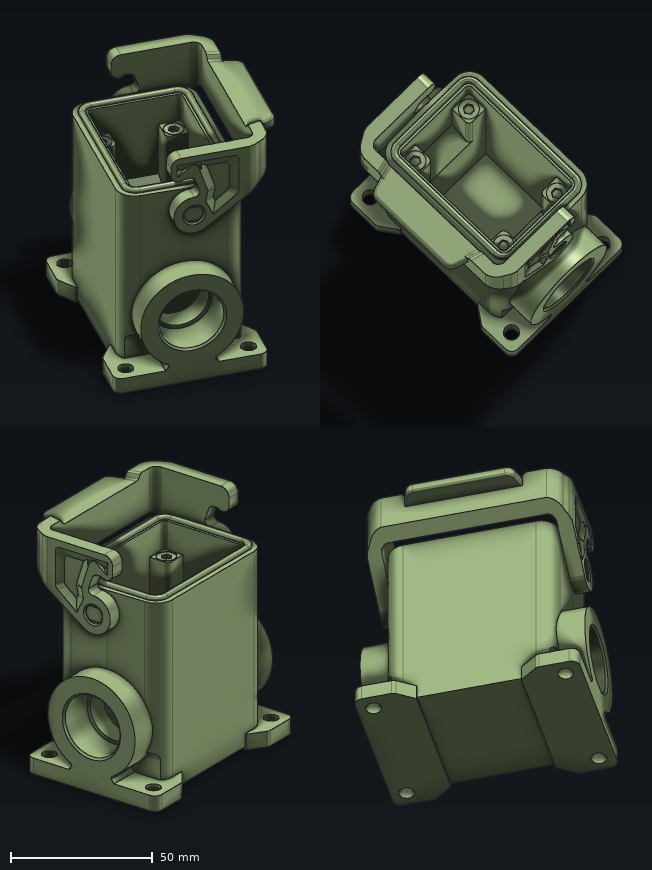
import cadquery as cq
import math

BODY_HALF_X = 31.7
BODY_HALF_Y = 23.1
CORNER_RADIUS = 7.0
SIDE_BULGE = 0.5
BODY_BOTTOM = 1.1
BODY_TOP = 75.5

CAVITY_HALF_X = 26.1
CAVITY_HALF_Y = 17.6
CAVITY_RADIUS = 1.7
FLOOR_Z = 4.6

BEAD_HALF_X = 29.6
BEAD_HALF_Y = 21.0
BEAD_WIDTH = 2.5
BEAD_HEIGHT = 1.6
BEAD_RADIUS = 5.4
BEAD_CROWN_RADIUS = 1.2

BLOCK_INNER_X = 17.65
BLOCK_INNER_Z = 38.8
BLOCK_RISE = 4.5
PILLAR_SIZE = CAVITY_HALF_X - BLOCK_INNER_X
PILLAR_TOP = 64.2
PILLAR_CORNER = 1.8
SCREW_X = (CAVITY_HALF_X + BLOCK_INNER_X) / 2
SCREW_Y = CAVITY_HALF_Y - PILLAR_SIZE / 2
SCREW_HEAD_RADIUS = 3.7
SCREW_HEAD_RECESS = 0.2
HEX_ACROSS_CORNERS = 4.0
HEX_DEPTH = 1.85

FOOT_OUTER_X = 40.98
FOOT_INNER_X = 19.1
FOOT_HALF_Y = 28.55
FOOT_HEIGHT = 6.2
FOOT_SLANT_X = 26.1
FOOT_TIP_Y = 23.7
FOOT_CORNER = 3.1
FOOT_SLANT_CORNER = 2.6
FOOT_HOLE_X = 35.0
FOOT_HOLE_Y = 22.7
FOOT_HOLE_RADIUS = 2.8

WALL_RECESS_X = 28.9
WALL_RECESS_TOP = 16.8
WALL_RECESS_HALF_Y = 22.2
WALL_RECESS_RADIUS = 2.8

COLLAR_Z = 25.6
COLLAR_RADIUS = 19.08
COLLAR_NOTCH_RADIUS = 1.1
BORE_RADIUS = 11.9
BORE_DEPTH = 13.6
BORE_CHAMFER = 0.79
PILOT_RADIUS = 10.4
PILOT_END_X = 19.5

LEVER_TOP = 92.4
ARM_OUTER_X = 37.4
ARM_INNER_X = 31.9
LEVER_BACK_Y = 31.0
CROSSBAR_INNER_Y = 26.0
LEVER_INNER_RADIUS = 3.0
ARM_FRONT_Y = -6.65
PIVOT_Y = 1.85
PIVOT_Z = 67.5
PIVOT_EYE_RADIUS = 7.5
PIN_RADIUS = 3.6
PIN_RECESS_RADIUS = 4.2
PIN_RECESS_DEPTH = 0.6
PIN_FLAT_HALF = 2.9
PIN_END_DEPTH = 0.9
ARM_POCKET_DEPTH = 1.3
ARM_POCKET_WALL_RUN = 3.05

TAB_TOP = 90.1
TAB_BOTTOM = 86.1
TAB_TIP_Y = 38.0
TAB_TIP_HALF_X = 19.2
TAB_ROOT_HALF_X = 22.4
TAB_CORNER = 3.3
TAB_EDGE_RADIUS = 0.7
NOTCH_HALF_X_INNER = 24.5
NOTCH_HALF_X_OUTER = 23.2
NOTCH_FLANK = 3.05

OVERLAP = 0.9


def both_sides(solid):
    """The +X solid together with its mirror image on the -X side."""
    return solid.union(solid.mirror("YZ"))


def rounded_box(half_x, half_y, radius, bottom, top):
    box = cq.Workplane("XY").workplane(offset=bottom).rect(2 * half_x, 2 * half_y).extrude(top - bottom)
    return box.edges("|Z").fillet(radius)


def x_cylinder(y, z, radius, start_x, end_x):
    return cq.Workplane("YZ", origin=(start_x, 0, 0)).center(y, z).circle(radius).extrude(end_x - start_x)


def inward_cone(center, outer_radius, inner_radius, depth):
    """Countersink cone on a +X face, narrowing toward the inside of the part."""
    return (
        cq.Workplane("YZ", origin=center)
        .circle(outer_radius)
        .workplane(offset=-depth).circle(inner_radius)
        .loft()
    )


def make_shell():
    """Solid outer form of the body, with a flat recess above each foot."""
    corner_x = BODY_HALF_X - SIDE_BULGE
    flat_x = corner_x - CORNER_RADIUS
    flat_y = BODY_HALF_Y - CORNER_RADIUS
    shell = (
        cq.Workplane("XY").workplane(offset=BODY_BOTTOM)
        .moveTo(-flat_x, -BODY_HALF_Y)
        .lineTo(flat_x, -BODY_HALF_Y)
        .radiusArc((corner_x, -flat_y), -CORNER_RADIUS)
        .lineTo(BODY_HALF_X, 0)
        .lineTo(corner_x, flat_y)
        .radiusArc((flat_x, BODY_HALF_Y), -CORNER_RADIUS)
        .lineTo(-flat_x, BODY_HALF_Y)
        .radiusArc((-corner_x, flat_y), -CORNER_RADIUS)
        .lineTo(-BODY_HALF_X, 0)
        .lineTo(-corner_x, -flat_y)
        .radiusArc((-flat_x, -BODY_HALF_Y), -CORNER_RADIUS)
        .close()
        .extrude(BODY_TOP - BODY_BOTTOM)
    )
    recess_height = WALL_RECESS_TOP - BODY_BOTTOM
    recess = (
        cq.Workplane("XY")
        .box(CORNER_RADIUS, 2 * WALL_RECESS_HALF_Y, recess_height, centered=(False, True, False))
        .translate((WALL_RECESS_X, 0, BODY_BOTTOM))
        .edges("<X and >Z").fillet(WALL_RECESS_RADIUS)
    )
    return shell.cut(both_sides(recess))


def make_bead():
    """Rounded ridge on the rim that carries the seal."""
    outer = rounded_box(BEAD_HALF_X, BEAD_HALF_Y, BEAD_RADIUS, BODY_TOP - OVERLAP, BODY_TOP + BEAD_HEIGHT)
    inner = rounded_box(
        BEAD_HALF_X - BEAD_WIDTH, BEAD_HALF_Y - BEAD_WIDTH, BEAD_RADIUS - BEAD_WIDTH,
        BODY_TOP - OVERLAP, BODY_TOP + BEAD_HEIGHT,
    )
    return outer.cut(inner).faces(">Z").edges().fillet(BEAD_CROWN_RADIUS)


def make_cavity():
    """The room inside the body, with the side blocks and screw pillars left standing."""
    cavity = rounded_box(CAVITY_HALF_X, CAVITY_HALF_Y, CAVITY_RADIUS, FLOOR_Z, BODY_TOP + OVERLAP)
    block = (
        cq.Workplane("XZ", origin=(0, BODY_HALF_Y, 0))
        .moveTo(BLOCK_INNER_X, 0)
        .lineTo(BLOCK_INNER_X, BLOCK_INNER_Z)
        .lineTo(CAVITY_HALF_X, BLOCK_INNER_Z + BLOCK_RISE)
        .lineTo(CAVITY_HALF_X + OVERLAP, BLOCK_INNER_Z + BLOCK_RISE)
        .lineTo(CAVITY_HALF_X + OVERLAP, 0)
        .close()
        .extrude(2 * BODY_HALF_Y)
    )
    cavity = cavity.cut(both_sides(block))
    for x_sign in (-1, 1):
        for y_sign in (-1, 1):
            cavity = cavity.cut(make_pillar(x_sign, y_sign))
    return cavity


def make_pillar(x_sign, y_sign):
    """Screw pillar in one cavity corner, with a socket-head screw set into its top."""
    inner_edge = ("<X" if x_sign > 0 else ">X") + " and " + ("<Y" if y_sign > 0 else ">Y")
    top = cq.Workplane("XY").workplane(offset=PILLAR_TOP)
    pillar = (
        cq.Workplane("XY")
        .rect(PILLAR_SIZE, PILLAR_SIZE).extrude(PILLAR_TOP)
        .edges("|Z").edges(inner_edge).fillet(PILLAR_CORNER)
    )
    head = top.circle(SCREW_HEAD_RADIUS).extrude(-SCREW_HEAD_RECESS)
    socket = top.polygon(6, HEX_ACROSS_CORNERS).extrude(-HEX_DEPTH)
    socket = socket.rotate((0, 0, 0), (0, 0, 1), 90)
    return pillar.cut(head).cut(socket).translate((x_sign * SCREW_X, y_sign * SCREW_Y, 0))


def make_foot():
    """Mounting foot on the +X side, with two screw holes and slanted inner ends."""
    foot = (
        cq.Workplane("XY")
        .polyline([
            (FOOT_OUTER_X, -FOOT_HALF_Y), (FOOT_SLANT_X, -FOOT_HALF_Y), (FOOT_INNER_X, -FOOT_TIP_Y),
            (FOOT_INNER_X, FOOT_TIP_Y), (FOOT_SLANT_X, FOOT_HALF_Y), (FOOT_OUTER_X, FOOT_HALF_Y),
        ])
        .close()
        .extrude(FOOT_HEIGHT)
        .edges("|Z and >X").fillet(FOOT_CORNER)
    )
    for y in (-FOOT_HALF_Y, FOOT_HALF_Y):
        slant_start = cq.selectors.NearestToPointSelector((FOOT_SLANT_X, y, FOOT_HEIGHT / 2))
        foot = foot.edges("|Z").edges(slant_start).fillet(FOOT_SLANT_CORNER)
    holes = (
        cq.Workplane("XY")
        .pushPoints([(FOOT_HOLE_X, -FOOT_HOLE_Y), (FOOT_HOLE_X, FOOT_HOLE_Y)])
        .circle(FOOT_HOLE_RADIUS)
        .extrude(FOOT_HEIGHT)
    )
    return foot.cut(holes)


def make_collar():
    """Round cable entry, joined to the foot by a web with a rounded notch on either side."""
    inner_x = CAVITY_HALF_X + OVERLAP
    collar = x_cylinder(0, COLLAR_Z, COLLAR_RADIUS, inner_x, FOOT_OUTER_X)
    contact_y = 9.3
    contact_z = COLLAR_Z - math.sqrt(COLLAR_RADIUS ** 2 - contact_y ** 2)
    waist_y = 8.7
    waist_z = 7.8
    root_y = 9.9
    web = (
        cq.Workplane("YZ", origin=(inner_x, 0, 0))
        .moveTo(-root_y, FOOT_HEIGHT)
        .lineTo(root_y, FOOT_HEIGHT)
        .lineTo(waist_y, waist_z)
        .radiusArc((contact_y, contact_z), COLLAR_NOTCH_RADIUS)
        .lineTo(-contact_y, contact_z)
        .radiusArc((-waist_y, waist_z), COLLAR_NOTCH_RADIUS)
        .close()
        .extrude(FOOT_OUTER_X - inner_x)
    )
    return collar.union(web)


def make_entry_bore():
    """Blind stepped bore of the cable entry with a chamfered mouth."""
    bore = x_cylinder(0, COLLAR_Z, BORE_RADIUS, FOOT_OUTER_X - BORE_DEPTH, FOOT_OUTER_X)
    pilot = x_cylinder(0, COLLAR_Z, PILOT_RADIUS, PILOT_END_X, FOOT_OUTER_X)
    lead_in = inward_cone((FOOT_OUTER_X, 0, COLLAR_Z), BORE_RADIUS + BORE_CHAMFER, BORE_RADIUS, BORE_CHAMFER)
    return bore.union(pilot).union(lead_in)


def make_lever_plan():
    """U shape of the lever seen along Z: two arms and the crossbar at the back."""
    bend_start_x = 30.2
    bend_end_y = 22.1
    bend_radius = 7.4
    flat_back = (35.2, 27.0)
    flat_front = (36.7, 24.6)
    plan = (
        cq.Workplane("XY")
        .moveTo(ARM_OUTER_X, ARM_FRONT_Y)
        .lineTo(ARM_OUTER_X, bend_end_y)
        .radiusArc(flat_front, -bend_radius)
        .lineTo(*flat_back)
        .radiusArc((bend_start_x, LEVER_BACK_Y), -bend_radius)
        .lineTo(-bend_start_x, LEVER_BACK_Y)
        .radiusArc((-flat_back[0], flat_back[1]), -bend_radius)
        .lineTo(-flat_front[0], flat_front[1])
        .radiusArc((-ARM_OUTER_X, bend_end_y), -bend_radius)
        .lineTo(-ARM_OUTER_X, ARM_FRONT_Y)
        .close()
        .extrude(LEVER_TOP)
    )
    opening = (
        cq.Workplane("XY")
        .rect(2 * ARM_INNER_X, 2 * CROSSBAR_INNER_Y)
        .extrude(LEVER_TOP)
        .edges("|Z").fillet(LEVER_INNER_RADIUS)
    )
    return plan.cut(opening)


def make_lever_profile():
    """Side outline of the lever: hooked nose in front, pivot eye below, slanted underside."""
    back_bottom_z = 78.4
    nose_radius = 3.7
    nose_lower_z = 85.75
    nose_chin = (-2.8, 82.8)
    chin_radius = 3.0
    hook_top = (0.2, 83.5)
    hook_end = (2.0, 82.5)
    throat_radius = 2.1
    eye_top_z = PIVOT_Z + PIVOT_EYE_RADIUS
    reach_y = LEVER_BACK_Y - PIVOT_Y
    reach_z = back_bottom_z - PIVOT_Z
    tangent_angle = math.atan2(reach_z, reach_y) - math.acos(PIVOT_EYE_RADIUS / math.hypot(reach_y, reach_z))
    tangent_point = (
        PIVOT_Y + PIVOT_EYE_RADIUS * math.cos(tangent_angle),
        PIVOT_Z + PIVOT_EYE_RADIUS * math.sin(tangent_angle),
    )
    return (
        cq.Workplane("YZ", origin=(-ARM_OUTER_X, 0, 0))
        .moveTo(LEVER_BACK_Y, LEVER_TOP)
        .lineTo(ARM_FRONT_Y + nose_radius, LEVER_TOP)
        .radiusArc((ARM_FRONT_Y, LEVER_TOP - nose_radius), -nose_radius)
        .lineTo(ARM_FRONT_Y, nose_lower_z)
        .radiusArc(nose_chin, -chin_radius)
        .threePointArc(hook_top, hook_end)
        .lineTo(PIVOT_Y + throat_radius, eye_top_z + throat_radius)
        .radiusArc((PIVOT_Y, eye_top_z), throat_radius)
        .threePointArc((PIVOT_Y - PIVOT_EYE_RADIUS, PIVOT_Z), tangent_point)
        .lineTo(LEVER_BACK_Y, back_bottom_z)
        .close()
        .extrude(2 * ARM_OUTER_X)
    )


def make_arm_pockets():
    """Sunken panel with sloped walls and a V-shaped groove reaching into the hook."""
    outer_face = cq.Workplane("YZ", origin=(ARM_OUTER_X, 0, 0))
    panel_top_z = 89.7
    panel_back_y = 18.4
    panel_bottom_z = 73.9
    panel_corner_radius = 5.5
    hook_tip_y = -4.4
    wall_angle = math.degrees(math.atan2(ARM_POCKET_WALL_RUN, ARM_POCKET_DEPTH))
    panel = (
        outer_face
        .polyline([
            (panel_back_y, panel_top_z), (2.8, panel_top_z), (6.9, 76.8),
            (6.1, 72.5), (9.0, 66.5), (panel_back_y, panel_bottom_z),
        ])
        .close()
        .extrude(-ARM_POCKET_DEPTH, taper=wall_angle)
    )
    half_run = ARM_POCKET_WALL_RUN / 2
    slope_x = ARM_OUTER_X - ARM_POCKET_DEPTH / 2
    for corner_z in (panel_top_z - half_run, panel_bottom_z + half_run / 2):
        corner = cq.selectors.NearestToPointSelector((slope_x, panel_back_y - half_run, corner_z))
        panel = panel.edges("not |X").edges(corner).fillet(panel_corner_radius)
    hook = (
        outer_face
        .polyline([
            (4.6, panel_top_z), (hook_tip_y, panel_top_z), (hook_tip_y, 84.9), (-3.8, 84.9),
            (0.8, 88.6), (2.4, 88.6), (4.6, 86.1),
        ])
        .close()
        .extrude(-ARM_POCKET_DEPTH)
    )
    groove = (
        cq.Workplane("XZ", origin=(0, LEVER_BACK_Y, 0))
        .moveTo(ARM_OUTER_X, panel_top_z)
        .lineTo(ARM_OUTER_X - ARM_POCKET_DEPTH, panel_top_z - ARM_POCKET_WALL_RUN)
        .lineTo(ARM_OUTER_X, panel_top_z - 2 * ARM_POCKET_WALL_RUN)
        .close()
        .extrude(LEVER_BACK_Y - ARM_FRONT_Y)
    )
    return panel.union(hook.intersect(groove))


def make_pin_recess():
    """Countersunk pin head with a deeper end face between two flats."""
    outer_face = cq.Workplane("YZ", origin=(ARM_OUTER_X, PIVOT_Y, PIVOT_Z))
    cone = inward_cone((ARM_OUTER_X, PIVOT_Y, PIVOT_Z), PIN_RECESS_RADIUS, PIN_RADIUS, PIN_RECESS_DEPTH)
    flats = outer_face.rect(2 * PIN_RADIUS, 2 * PIN_FLAT_HALF).extrude(-PIN_END_DEPTH)
    end = outer_face.circle(PIN_RADIUS).extrude(-PIN_END_DEPTH).intersect(flats)
    return cone.union(end)


def make_tab():
    """Tapered thumb tab reaching back from the crossbar."""
    root_y = (CROSSBAR_INNER_Y + LEVER_BACK_Y) / 2
    tab = (
        cq.Workplane("XY").workplane(offset=TAB_BOTTOM)
        .polyline([
            (-TAB_ROOT_HALF_X, root_y), (TAB_ROOT_HALF_X, root_y),
            (TAB_TIP_HALF_X, TAB_TIP_Y), (-TAB_TIP_HALF_X, TAB_TIP_Y),
        ])
        .close()
        .extrude(TAB_TOP - TAB_BOTTOM)
        .edges("|Z").edges(">Y").fillet(TAB_CORNER)
    )
    return tab.faces("<Z or >Z").edges().fillet(TAB_EDGE_RADIUS)


def make_crossbar_notch():
    """Notch in the crossbar's top, narrowing toward the back, with S-shaped flanks."""
    round_drop = 0.5
    round_run = NOTCH_FLANK / 3
    round_radius = (round_run ** 2 + round_drop ** 2) / (2 * round_drop)

    def section(plane, half_x):
        upper = (half_x - round_run, LEVER_TOP - round_drop)
        lower = (half_x - 2 * round_run, TAB_TOP + round_drop)
        floor_x = half_x - NOTCH_FLANK
        return (
            plane.moveTo(-half_x, LEVER_TOP)
            .radiusArc((-upper[0], upper[1]), round_radius)
            .lineTo(-lower[0], lower[1])
            .radiusArc((-floor_x, TAB_TOP), -round_radius)
            .lineTo(floor_x, TAB_TOP)
            .radiusArc(lower, -round_radius)
            .lineTo(*upper)
            .radiusArc((half_x, LEVER_TOP), round_radius)
            .close()
        )

    inner = section(cq.Workplane("XZ", origin=(0, CROSSBAR_INNER_Y, 0)), NOTCH_HALF_X_INNER)
    outer_plane = inner.workplane(offset=CROSSBAR_INNER_Y - LEVER_BACK_Y)
    return section(outer_plane, NOTCH_HALF_X_OUTER).loft(ruled=True)


def make_lever():
    """Complete locking lever with its pivot pins."""
    lever = make_lever_plan().intersect(make_lever_profile())
    lever = lever.cut(make_crossbar_notch()).union(make_tab())
    lever = lever.cut(both_sides(make_arm_pockets()))
    pin = x_cylinder(PIVOT_Y, PIVOT_Z, PIN_RADIUS, CAVITY_HALF_X + OVERLAP, ARM_INNER_X + OVERLAP)
    return lever.union(both_sides(pin)).cut(both_sides(make_pin_recess()))


housing = make_shell().union(both_sides(make_foot())).union(both_sides(make_collar()))
housing = housing.union(make_bead())
housing = housing.cut(make_cavity()).cut(both_sides(make_entry_bore()))
result = housing.union(make_lever())